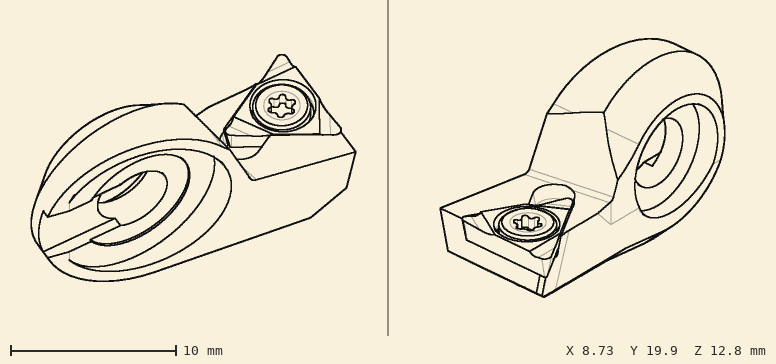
import cadquery as cq
import math

REACH = 20.0

ring_radius = 6.4
ring_bevel = 2.0
face_radius = ring_radius - ring_bevel
bore_diameter = 4.5
head_seat_diameter = 7.5
head_seat_depth = 1.5
back_recess_diameter = 11.0
back_recess_floor_x = 3.7
back_step_diameter = 7.5
back_step_floor_x = 3.55
key_slot_width = 4.0
key_slot_floor_x = 2.9

back_angle = 11.0
back_face_x = 4.62

relief_angle = 10.0
flank_relief_angle = 11.0
arm_bottom_z = -6.5
deck_z = -0.1
arm_side_x = -0.28
arm_front_y = 13.34
flank_inset = 0.12
flank_fillet = 3.95
tip_chamfer_length = 0.35
tip_chamfer_width = 0.2
side_corner_y = 7.42
ring_face_end_y = 5.95
keel_angle = 6.0
keel_end_y = 10.49
nose_y = 12.76
nose_z = -3.38
keel_bevel_offset = 4.01

neck_start_angle = 40.0
neck_radius = 6.0
neck_turn = 10.0
neck_lean = 20.0
neck_foot_y = 5.76
neck_fillet = 0.36

insert_x = 1.99
insert_y = 11.31
insert_inradius = 2.19
insert_thickness = 1.57
insert_corner_radius = 0.37
insert_hole_diameter = 2.3
insert_seat_diameter = 3.75
insert_seat_mouth_diameter = 4.0
insert_seat_depth = 0.8
seat_taper_depth = 0.5
pocket_gap = 0.1
groove_inner = 2.2
groove_low = 2.62
groove_outer = 2.83
groove_depth = 0.215
groove_outer_depth = 0.18

runout_radius = 1.3
runout_length = 3.61
runout_draft_depth = 1.0

screw_offset = 0.09
head_diameter = 3.5
head_chamfer = 0.18
head_top_z = 0.1
socket_rim_diameter = 2.2
socket_rim_depth = 0.12
socket_lobe_radius = 0.88
socket_valley_radius = 0.62
socket_depth = 0.9
socket_turn = 25.0
shank_diameter = 1.75
shank_bottom_z = -4.0

relief_slope = math.tan(math.radians(relief_angle))
flank_slope = math.tan(math.radians(flank_relief_angle))
cos_30 = math.cos(math.radians(30))
sin_30 = math.sin(math.radians(30))
insert_bottom_z = -insert_thickness
relief_start_z = deck_z + arm_side_x / relief_slope
screw_y = insert_y - screw_offset


def polar(radius, angle):
    return radius * math.cos(math.radians(angle)), radius * math.sin(math.radians(angle))


def x_cylinder(diameter, x_start, x_end):
    return cq.Workplane("YZ", origin=(x_start, 0, 0)).circle(diameter / 2).extrude(x_end - x_start)


def ring_blank():
    profile = [(0, 0), (0, face_radius), (ring_bevel, ring_radius), (REACH, ring_radius), (REACH, 0)]
    ring = cq.Workplane("XY").polyline(profile).close().revolve(360, (0, 0), (1, 0))
    depth = REACH + relief_start_z
    wedge = [(0, relief_start_z), (depth * relief_slope, -REACH), (-1, -REACH), (-1, relief_start_z)]
    return ring.cut(cq.Workplane("XZ").polyline(wedge).close().extrude(REACH, both=True))


def neck():
    """Concave web that runs from the ring down to the deck, bevelled like the ring."""
    centre_y, centre_z = polar(ring_radius + neck_radius, neck_start_angle)
    outline = [(0, 0), (centre_y, centre_z), (centre_y, relief_start_z), (0, relief_start_z)]
    web = cq.Workplane("YZ").polyline(outline).close().extrude(REACH)
    profile = [
        (0, 0),
        (0, neck_radius + ring_bevel),
        (ring_bevel, neck_radius),
        (REACH, neck_radius),
        (REACH, 0),
    ]
    hollow = cq.Workplane("XY", origin=(0, centre_y, centre_z)).polyline(profile).close()
    return web.cut(hollow.revolve(360, (0, 0), (1, 0)))


def arm_plan(z):
    """Plan of the arm at one level: left side, concave fillet, flank under the insert, chamfered tip."""
    depth = deck_z - z
    side_x = arm_side_x + depth * relief_slope
    front_y = arm_front_y - depth * relief_slope
    flank_distance = insert_inradius - flank_inset - depth * flank_slope

    corner_y = insert_y + ((insert_x - side_x) * cos_30 - flank_distance) / sin_30
    half_turn = math.radians(15)
    tangent = flank_fillet * math.tan(half_turn)
    fillet_start = (side_x, corner_y - tangent)
    fillet_middle = (
        side_x - flank_fillet * (1 - math.cos(half_turn)),
        corner_y - tangent + flank_fillet * math.sin(half_turn),
    )
    fillet_end = (side_x - tangent * sin_30, corner_y + tangent * cos_30)
    tip_y = front_y - tip_chamfer_length
    tip_x = side_x - (tip_y - corner_y) * sin_30 / cos_30
    return (
        cq.Workplane("XY", origin=(0, 0, z))
        .moveTo(side_x, -REACH)
        .lineTo(*fillet_start)
        .threePointArc(fillet_middle, fillet_end)
        .lineTo(tip_x, tip_y)
        .lineTo(tip_x + tip_chamfer_width, front_y)
        .lineTo(REACH, front_y)
        .lineTo(REACH, -REACH)
        .close()
        .val()
    )


def arm():
    plans = [arm_plan(deck_z), arm_plan(arm_bottom_z)]
    block = cq.Workplane(cq.Solid.makeLoft(plans, ruled=True))

    keel_y = ring_radius * math.sin(math.radians(keel_angle))
    keel_z = -ring_radius * math.cos(math.radians(keel_angle))
    keel_end_z = keel_z + (keel_end_y - keel_y) * math.tan(math.radians(keel_angle))
    side = [
        (keel_y, deck_z),
        (keel_y, keel_z),
        (keel_end_y, keel_end_z),
        (nose_y, nose_z),
        (arm_front_y + 1, nose_z),
        (arm_front_y + 1, deck_z),
    ]
    block = block.intersect(cq.Workplane("YZ").polyline(side).close().extrude(REACH, both=True))

    run_in = [
        (0, -REACH),
        (0, ring_face_end_y),
        (arm_side_x, side_corner_y),
        (arm_side_x - 1, side_corner_y),
        (arm_side_x - 1, -REACH),
    ]
    block = block.cut(cq.Workplane("XY").polyline(run_in).close().extrude(-REACH))
    sloped_bevel = underside_bevel(keel_angle, face_radius)
    level_bevel = underside_bevel(0, keel_bevel_offset)
    return block.cut(sloped_bevel.intersect(level_bevel))


def underside_bevel(slope, offset):
    """45 degree bevel whose run climbs toward the front at the given slope."""
    section = [(-REACH, REACH - offset), (REACH, -REACH - offset), (-REACH, -REACH - offset)]
    wedge = cq.Workplane("XZ").polyline(section).close().extrude(2 * REACH, both=True)
    return wedge.rotate((0, 0, 0), (1, 0, 0), slope)


def deck_cut():
    """Clears the space above the deck in front of the leaning neck face."""
    lean = math.radians(neck_lean)
    half_turn = (math.pi / 2 - lean) / 2
    setback = neck_fillet * math.tan(half_turn)
    fillet_middle = (
        setback - neck_fillet * math.sin(half_turn),
        neck_fillet * (1 - math.cos(half_turn)),
    )
    foot = (0, neck_foot_y, deck_z)
    turn = math.radians(neck_turn)
    along = cq.Vector(math.cos(turn), math.sin(turn), 0)
    forward = cq.Vector(-math.sin(turn), math.cos(turn), 0)
    plane = cq.Plane(origin=foot, xDir=forward, normal=along)
    return (
        cq.Workplane(plane)
        .moveTo(REACH, 0)
        .lineTo(setback, 0)
        .threePointArc(fillet_middle, (-setback * math.sin(lean), setback * math.cos(lean)))
        .lineTo(-REACH * math.tan(lean), REACH)
        .lineTo(REACH, REACH)
        .close()
        .extrude(REACH, both=True)
    )


def behind_back_face():
    slope = math.tan(math.radians(back_angle))
    outline = [
        (back_face_x - REACH * slope, -REACH),
        (back_face_x + REACH * slope, REACH),
        (2 * REACH, REACH),
        (2 * REACH, -REACH),
    ]
    return cq.Workplane("XY").polyline(outline).close().extrude(REACH, both=True)


def runout_slot():
    """Round-ended relief behind the insert, running along its left edge."""
    axis_offset = insert_inradius - runout_radius
    end_x = insert_x + (runout_length * sin_30 - axis_offset) / cos_30
    end_y = insert_y - runout_length
    floor_radius = runout_radius - runout_draft_depth * relief_slope
    upper = cq.Solid.makeLoft(
        [runout_outline(runout_radius, 0), runout_outline(floor_radius, -runout_draft_depth)], ruled=True
    )
    lower = cq.Workplane(runout_outline(floor_radius, -runout_draft_depth)).toPending()
    lower = lower.extrude(runout_draft_depth + insert_bottom_z)
    slot = cq.Workplane(upper).union(lower)
    return slot.rotate((0, 0, 0), (0, 0, 1), 120).translate((end_x, end_y, 0))


def runout_outline(radius, z):
    """Half-round end at the origin with parallel sides along +X."""
    return (
        cq.Workplane("XY", origin=(0, 0, z))
        .moveTo(0, radius)
        .threePointArc((-radius, 0), (0, -radius))
        .lineTo(runout_length, -radius)
        .lineTo(runout_length, radius)
        .close()
        .val()
    )


def make_body():
    body = ring_blank().union(neck()).union(arm())
    body = body.cut(deck_cut()).cut(behind_back_face())
    body = body.cut(x_cylinder(bore_diameter, 0, REACH))
    body = body.cut(x_cylinder(head_seat_diameter, 0, head_seat_depth))
    body = body.cut(x_cylinder(back_recess_diameter, back_recess_floor_x, REACH))
    body = body.cut(x_cylinder(back_step_diameter, back_step_floor_x, REACH))
    slot = cq.Workplane("XY").box(REACH, REACH, key_slot_width, centered=(False, False, True))
    body = body.cut(slot.translate((key_slot_floor_x, -REACH, 0)))
    gap = (-pocket_gap * cos_30, -pocket_gap * sin_30, 0)
    body = body.cut(insert_blank()).cut(insert_blank().translate(gap))
    body = body.cut(runout_slot())
    return body.cut(shank())


def insert_outline(z):
    """Rounded triangle; the draft shrinks the corner radius around a constant core triangle."""
    core = insert_inradius - insert_corner_radius
    radius = insert_corner_radius + z * relief_slope
    corners = [polar(2 * core, angle) for angle in (30, 150, 270)]
    triangle = cq.Workplane("XY", origin=(insert_x, insert_y, z)).polyline(corners).close()
    return triangle.offset2D(radius).val()


def insert_blank():
    outlines = [insert_outline(0), insert_outline(insert_bottom_z)]
    return cq.Workplane(cq.Solid.makeLoft(outlines, ruled=True))


def chip_groove(turn):
    """Groove across one tip: a rake face falling from the cutting edge into a round back wall."""
    tip = 2 * insert_inradius
    cutting_end = tip - insert_corner_radius
    rake = groove_outer_depth / (cutting_end - groove_outer)
    rise = (tip - groove_outer) * rake - groove_outer_depth
    return (
        cq.Workplane("XZ")
        .moveTo(-groove_inner, 0)
        .threePointArc((-groove_low, -groove_depth), (-groove_outer, -groove_outer_depth))
        .lineTo(-tip, rise)
        .lineTo(-groove_inner, rise)
        .close()
        .extrude(REACH, both=True)
        .rotate((0, 0, 0), (0, 0, 1), turn)
        .translate((insert_x, insert_y, 0))
    )


def make_insert():
    insert = insert_blank()
    for turn in (0, 120, 240):
        insert = insert.cut(chip_groove(turn))
    seat = insert_seat_diameter / 2
    mouth = insert_seat_mouth_diameter / 2
    hole = insert_hole_diameter / 2
    profile = [
        (0, 0),
        (mouth, 0),
        (seat, -seat_taper_depth),
        (seat, -insert_seat_depth),
        (hole, -insert_seat_depth),
        (hole, insert_bottom_z),
        (0, insert_bottom_z),
    ]
    opening = cq.Workplane("XZ").polyline(profile).close().revolve(360, (0, 0), (0, 1))
    return insert.cut(opening.translate((insert_x, insert_y, 0)))


def shank():
    return (
        cq.Workplane("XY", origin=(insert_x, screw_y, -insert_seat_depth))
        .circle(shank_diameter / 2)
        .extrude(shank_bottom_z + insert_seat_depth)
    )


def socket():
    """Six-lobe socket below a shallow countersink."""
    rim = (
        cq.Workplane("XY", origin=(insert_x, screw_y, head_top_z))
        .circle(socket_rim_diameter / 2)
        .workplane(offset=-socket_rim_depth)
        .circle(socket_valley_radius)
        .loft()
    )
    middle = (socket_lobe_radius + socket_valley_radius) / 2
    outline = cq.Workplane("XY", origin=(insert_x, screw_y, head_top_z))
    outline = outline.moveTo(*polar(middle, socket_turn - 15))
    for lobe in range(6):
        angle = socket_turn + 60 * lobe
        outline = outline.threePointArc(polar(socket_lobe_radius, angle), polar(middle, angle + 15))
        outline = outline.threePointArc(polar(socket_valley_radius, angle + 30), polar(middle, angle + 45))
    lobes = outline.close().extrude(-socket_depth)
    return lobes.union(rim)


def make_screw():
    head = (
        cq.Workplane("XY", origin=(insert_x, screw_y, -insert_seat_depth))
        .circle(head_diameter / 2)
        .extrude(head_top_z + insert_seat_depth)
        .faces(">Z")
        .chamfer(head_chamfer)
    )
    return head.union(shank()).cut(socket())


body = make_body()
insert = make_insert()
screw = make_screw()

result = cq.Compound.makeCompound([part.solids().val() for part in (body, insert, screw)])